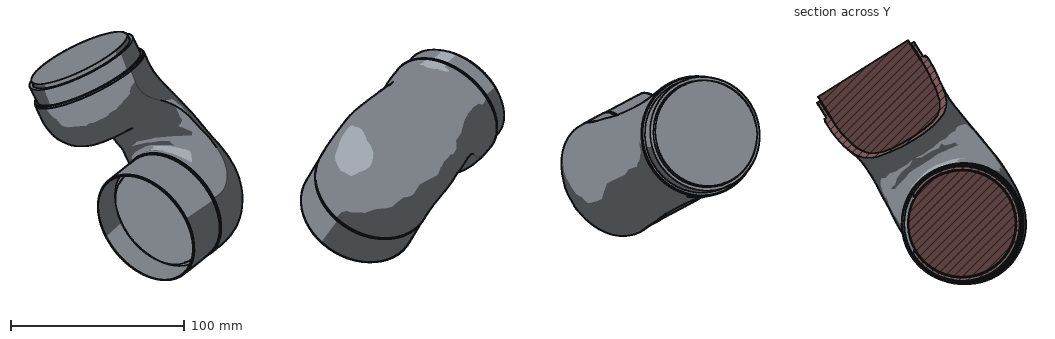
import cadquery as cq

pipe_radius = 35.0
collar_radius = 34.5
collar_length = 1.2
spigot_radius = 33.1
spigot_length = 11.4
core_radius = 30.7
core_clearance = 0.4
core_overhang = 2.6
wall = pipe_radius - core_radius

sleeve_radius = 34.8
sleeve_bore_radius = 34.0
sleeve_lip_radius = 34.4
sleeve_lip_length = 0.6
sleeve_reach = 26.3

upper_end_y = -14.0
upper_end_z = 92.0
straight_end = 1.2

even_share = 0.5

roll_angle = 32.4
yaw_angle = 7.0

bend_sections = [
    ((2.5, 35.3), (14.0, -34.8), 0.50, 35.0),
    ((3.8, 36.6), (30.0, -28.0), 0.48, 35.1),
    ((4.2, 38.5), (38.2, -13.0), 0.45, 35.2),
    ((3.6, 41.0), (36.6, 9.0), 0.47, 34.5),
    ((1.5, 44.0), (29.8, 34.0), 0.50, 33.2),
    ((-3.5, 51.0), (25.5, 53.5), 0.51, 31.8),
    ((-17.0, 56.8), (22.9, 67.0), 0.52, 31.4),
    ((-33.7, 59.0), (21.2, 79.0), 0.52, 32.2),
    ((-45.7, 68.0), (20.8, 86.2), 0.50, 33.9),
]


def half_ellipse(side, depth, centre, normal, depth_direction):
    """Half of an ellipse, from one side point round the depth direction to the other side point."""
    across = cq.Vector(1, 0, 0)
    if depth > side:
        return cq.Edge.makeEllipse(depth, side, centre, normal, depth_direction, -90, 90, 1)
    turns_forward = across.cross(depth_direction).dot(normal) > 0
    start = 0 if turns_forward else 180
    return cq.Edge.makeEllipse(side, depth, centre, normal, across, start, start + 180, 1)


def section_wire(front, back, front_share, half_width, inset):
    """Two half ellipses of different depth that meet at the widest place, all shrunk by the inset."""
    front_point = cq.Vector(0, *front)
    span = cq.Vector(0, *back) - front_point
    backward = span.normalized()
    widest = front_point + span * front_share
    normal = cq.Vector(1, 0, 0).cross(backward)
    side = half_width - inset
    back_depth = span.Length * (1 - front_share) - inset
    front_depth = span.Length * front_share - inset
    back_half = half_ellipse(side, back_depth, widest, normal, backward)
    front_half = half_ellipse(side, front_depth, widest, normal, -backward)
    return cq.Wire.assembleEdges([back_half, front_half])


def lower_ring(y):
    return (y, pipe_radius), (y, -pipe_radius), even_share, pipe_radius


def upper_ring(z):
    return (upper_end_y - pipe_radius, z), (upper_end_y + pipe_radius, z), even_share, pipe_radius


def bend(inset):
    """Smooth bend whose surface is moved inwards by the inset."""
    lower_rings = [lower_ring(0), lower_ring(straight_end)]
    upper_rings = [upper_ring(upper_end_z - straight_end), upper_ring(upper_end_z)]
    wires = [section_wire(*section, inset) for section in lower_rings + bend_sections + upper_rings]
    return cq.Workplane(cq.Solid.makeLoft(wires))


def lower_cylinder(radius, length):
    return cq.Workplane("XZ").circle(radius).extrude(length)


def upper_cylinder(radius, length):
    return cq.Workplane("XY", origin=(0, upper_end_y, upper_end_z)).circle(radius).extrude(length)


def both_cylinders(radius, length):
    return lower_cylinder(radius, length).union(upper_cylinder(radius, length))


def make_core():
    """Solid that fills the elbow and overhangs the spigot at both ends."""
    return bend(wall).union(both_cylinders(core_radius, spigot_length + core_overhang))


def make_elbow(core):
    """Walled bend with collars and spigots; a narrow gap rings the core inside each spigot."""
    collars = both_cylinders(collar_radius, collar_length)
    spigots = both_cylinders(spigot_radius, spigot_length)
    recesses = both_cylinders(core_radius + core_clearance, spigot_length)
    return bend(0).union(collars).union(spigots).cut(core).cut(recesses)


def make_sleeve():
    """Thin sleeve round the lower spigot, butted against the collar, with a narrow lip at its mouth."""
    sleeve = lower_cylinder(sleeve_radius, sleeve_reach - sleeve_lip_length)
    sleeve = sleeve.union(lower_cylinder(sleeve_lip_radius, sleeve_reach))
    bore = lower_cylinder(sleeve_bore_radius, sleeve_reach)
    return sleeve.cut(bore).cut(lower_cylinder(pipe_radius, collar_length))


def placed(body):
    """The body's one solid, tilted into its final attitude."""
    solid = body.solids().val().rotate(cq.Vector(), cq.Vector(0, 1, 0), -roll_angle)
    return solid.rotate(cq.Vector(), cq.Vector(0, 0, 1), -yaw_angle)


core = make_core()
elbow = make_elbow(core)
sleeve = make_sleeve()
result = cq.Compound.makeCompound([placed(body) for body in (elbow, sleeve, core)])